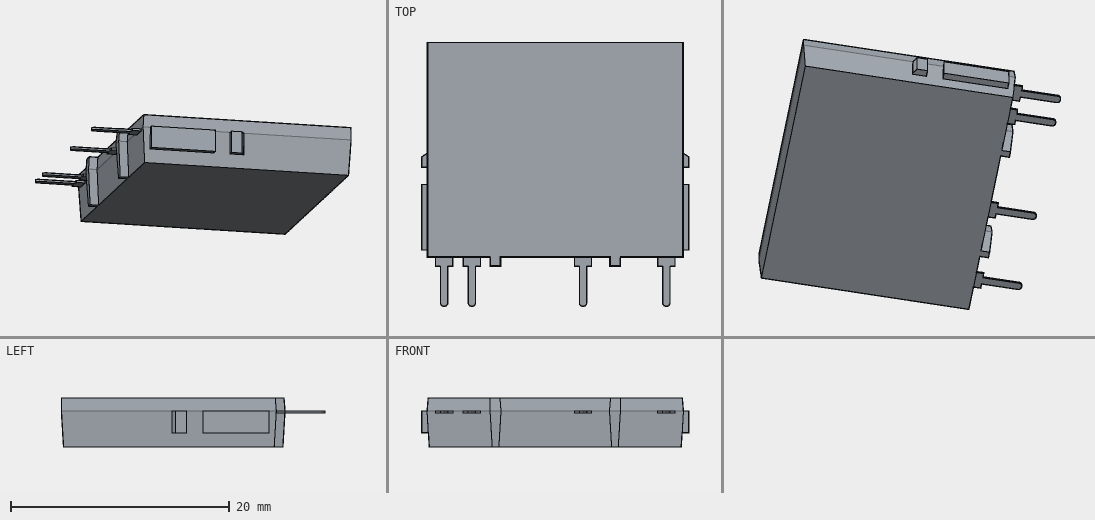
import cadquery as cq

OVERALL_WIDTH = 24.5
OVERALL_DEPTH = 24.2
OVERALL_HEIGHT = 4.5

HOUSING_WIDTH = 23.52
HOUSING_DEPTH = 19.72
UPPER_HEIGHT = 1.2
LOWER_HEIGHT = OVERALL_HEIGHT - UPPER_HEIGHT
UPPER_DRAFT = 0.1
LOWER_DRAFT = 0.2

RIB_INNER_X = 4.97
RIB_WIDTH = 1.0
RIB_PROJECTION = 0.8
RIB_ROOT = 1.22
FRONT_Y = -HOUSING_DEPTH
RIB_FRONT_Y = FRONT_Y - RIB_PROJECTION

SIDE_HEIGHT = 2.0
SIDE_ROOT = 0.74
SIDE_OUTER_X = OVERALL_WIDTH / 2
SIDE_INNER_X = HOUSING_WIDTH / 2 - SIDE_ROOT
RAIL_BACK_Y = -13.0
RAIL_LENGTH = 6.03
LATCH_BACK_Y = -10.17
LATCH_LENGTH = 1.3
LATCH_BEVEL_X = 0.5
LATCH_BEVEL_Y = 0.32

PIN_PITCH = 2.55
PIN_STEPS = (-4, -3, 1, 4)
PIN_THICKNESS = 0.2
PIN_WIDTH = 0.69
PIN_TIP_RADIUS = 0.32
PIN_HEAD_WIDTH = 1.6
PIN_INSERTION = 0.25
PIN_TIP_Y = -OVERALL_DEPTH
PIN_HEAD_BACK_Y = FRONT_Y + PIN_INSERTION


def drafted_half(x_min, x_max, y_min, y_max, height, insets):
    """Block from the parting plane to height; insets are (left, right, front, back) at its far end."""
    left, right, front, back = insets
    width = x_max - x_min
    depth = y_max - y_min
    end_width = width - left - right
    end_depth = depth - front - back
    shift_x = (left - right) / 2
    shift_y = (front - back) / 2
    return (
        cq.Workplane("XY")
        .center((x_min + x_max) / 2, (y_min + y_max) / 2)
        .rect(width, depth)
        .workplane(offset=height)
        .center(shift_x, shift_y)
        .rect(end_width, end_depth)
        .loft(ruled=True)
    )


def make_shell():
    """Drafted upper and lower halves; the back wall is upright above the parting plane."""
    half_width = HOUSING_WIDTH / 2
    bounds = (-half_width, half_width, FRONT_Y, 0)
    upper = drafted_half(*bounds, UPPER_HEIGHT, (UPPER_DRAFT, UPPER_DRAFT, UPPER_DRAFT, 0))
    lower = drafted_half(*bounds, -LOWER_HEIGHT, (LOWER_DRAFT,) * 4)
    return upper.union(lower)


def make_right_rib():
    """Front rib; its outer side is upright above the parting plane."""
    bounds = (RIB_INNER_X, RIB_INNER_X + RIB_WIDTH, RIB_FRONT_Y, FRONT_Y + RIB_ROOT)
    upper = drafted_half(*bounds, UPPER_HEIGHT, (UPPER_DRAFT, 0, UPPER_DRAFT, 0))
    lower = drafted_half(*bounds, -LOWER_HEIGHT, (LOWER_DRAFT, LOWER_DRAFT, LOWER_DRAFT, 0))
    return upper.union(lower)


def make_right_rail():
    rail_front_y = RAIL_BACK_Y - RAIL_LENGTH
    return (
        cq.Workplane("XY")
        .moveTo(SIDE_INNER_X, RAIL_BACK_Y)
        .lineTo(SIDE_OUTER_X, RAIL_BACK_Y)
        .lineTo(SIDE_OUTER_X, rail_front_y)
        .lineTo(SIDE_INNER_X, rail_front_y)
        .close()
        .extrude(-SIDE_HEIGHT)
    )


def make_right_latch():
    """Short side lug with a bevelled back corner."""
    latch_front_y = LATCH_BACK_Y - LATCH_LENGTH
    return (
        cq.Workplane("XY")
        .moveTo(SIDE_INNER_X, LATCH_BACK_Y)
        .lineTo(SIDE_OUTER_X - LATCH_BEVEL_X, LATCH_BACK_Y)
        .lineTo(SIDE_OUTER_X, LATCH_BACK_Y - LATCH_BEVEL_Y)
        .lineTo(SIDE_OUTER_X, latch_front_y)
        .lineTo(SIDE_INNER_X, latch_front_y)
        .close()
        .extrude(-SIDE_HEIGHT)
    )


def make_pin(x):
    """Flat terminal with a wide head and a rounded tip, its top on the parting plane."""
    half_head = PIN_HEAD_WIDTH / 2
    half_width = PIN_WIDTH / 2
    return (
        cq.Workplane("XY")
        .center(x, 0)
        .moveTo(-half_head, PIN_HEAD_BACK_Y)
        .lineTo(half_head, PIN_HEAD_BACK_Y)
        .lineTo(half_head, RIB_FRONT_Y)
        .lineTo(half_width, RIB_FRONT_Y)
        .lineTo(half_width, PIN_TIP_Y)
        .lineTo(-half_width, PIN_TIP_Y)
        .lineTo(-half_width, RIB_FRONT_Y)
        .lineTo(-half_head, RIB_FRONT_Y)
        .close()
        .extrude(-PIN_THICKNESS)
        .faces("<Y")
        .edges("|Z")
        .fillet(PIN_TIP_RADIUS)
    )


def make_housing(pins):
    """Shell with mirrored ribs, rails and latches, and a matching recess for each pin."""
    housing = make_shell()
    for feature in (make_right_rib(), make_right_rail(), make_right_latch()):
        housing = housing.union(feature).union(feature.mirror("YZ"))
    for pin in pins:
        housing = housing.cut(pin)
    return housing


pins = [make_pin(step * PIN_PITCH) for step in PIN_STEPS]
housing = make_housing(pins)

result = cq.Compound.makeCompound([housing.solids().val(), *[pin.val() for pin in pins]])